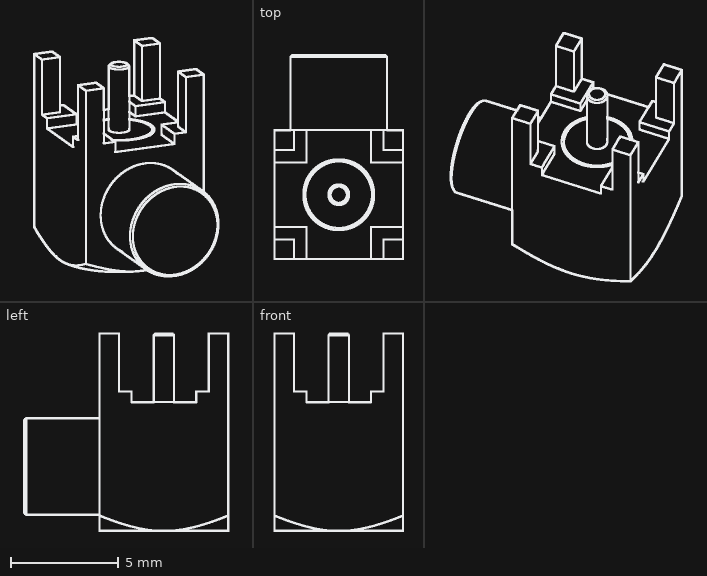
import cadquery as cq
import math

block_side = 6.0
block_height = 6.0
base_cone_angle = 30.0
envelope_clearance = 1.0

leg_side = 0.92
leg_top = 9.2
pad_side = 1.5
pad_height = 0.5

barrel_diameter = 4.5
barrel_length = 3.5
barrel_axis_height = block_height / 2
barrel_chamfer = 0.1

insulator_diameter = 3.1
insulator_depth = block_height - barrel_axis_height
bore_chamfer = 0.1

pin_diameter = 0.96
pin_top = leg_top
pin_chamfer = 0.1


def make_block():
    """Cube whose four bottom corners are trimmed by an upright cone."""
    block = cq.Workplane("XY").rect(block_side, block_side).extrude(block_height)
    base_radius = block_side / 2
    corner_radius = block_side / math.sqrt(2)
    envelope_radius = corner_radius + envelope_clearance
    cone_rise = (envelope_radius - base_radius) * math.tan(math.radians(base_cone_angle))
    envelope = (
        cq.Workplane("XZ")
        .moveTo(0, 0)
        .lineTo(base_radius, 0)
        .lineTo(envelope_radius, cone_rise)
        .lineTo(envelope_radius, block_height)
        .lineTo(0, block_height)
        .close()
        .revolve(360, (0, 0, 0), (0, 1, 0))
    )
    return block.intersect(envelope)


def make_corner_posts(side, height):
    """Square posts on the top face, flush with the outer corners of the block."""
    pitch = block_side - side
    return (
        cq.Workplane("XY", origin=(0, 0, block_height))
        .rect(pitch, pitch, forConstruction=True)
        .vertices()
        .rect(side, side)
        .extrude(height)
    )


def make_barrel():
    """Cylinder along +Y with a chamfered free end."""
    return (
        cq.Workplane("XZ", origin=(0, block_side / 2, barrel_axis_height))
        .circle(barrel_diameter / 2)
        .extrude(-barrel_length)
        .faces(">Y")
        .chamfer(barrel_chamfer)
    )


def make_insulator_bore():
    """Blind bore for the insulator, widened by a chamfer at the top face."""
    bore_radius = insulator_diameter / 2
    bore = cq.Workplane("XY", origin=(0, 0, block_height)).circle(bore_radius).extrude(-insulator_depth)
    mouth = cq.Workplane(
        cq.Solid.makeCone(
            bore_radius,
            bore_radius + bore_chamfer,
            bore_chamfer,
            pnt=cq.Vector(0, 0, block_height - bore_chamfer),
        )
    )
    return bore.union(mouth)


def make_housing():
    """Block with pads, legs and barrel in one piece, bored for the insulator."""
    return (
        make_block()
        .union(make_corner_posts(pad_side, pad_height))
        .union(make_corner_posts(leg_side, leg_top - block_height))
        .union(make_barrel())
        .cut(make_insulator_bore())
    )


def make_insulator():
    """Disc filling the bore, flush with the top face, pierced for the pin."""
    return (
        cq.Workplane("XY", origin=(0, 0, block_height - insulator_depth))
        .circle(insulator_diameter / 2)
        .circle(pin_diameter / 2)
        .extrude(insulator_depth)
    )


def make_pin():
    """Straight pin from the bore floor to the height of the legs."""
    pin_bottom = block_height - insulator_depth
    return (
        cq.Workplane("XY", origin=(0, 0, pin_bottom))
        .circle(pin_diameter / 2)
        .extrude(pin_top - pin_bottom)
        .faces(">Z")
        .chamfer(pin_chamfer)
    )


housing = make_housing()
insulator = make_insulator()
pin = make_pin()

result = cq.Compound.makeCompound([housing.val(), insulator.val(), pin.val()])